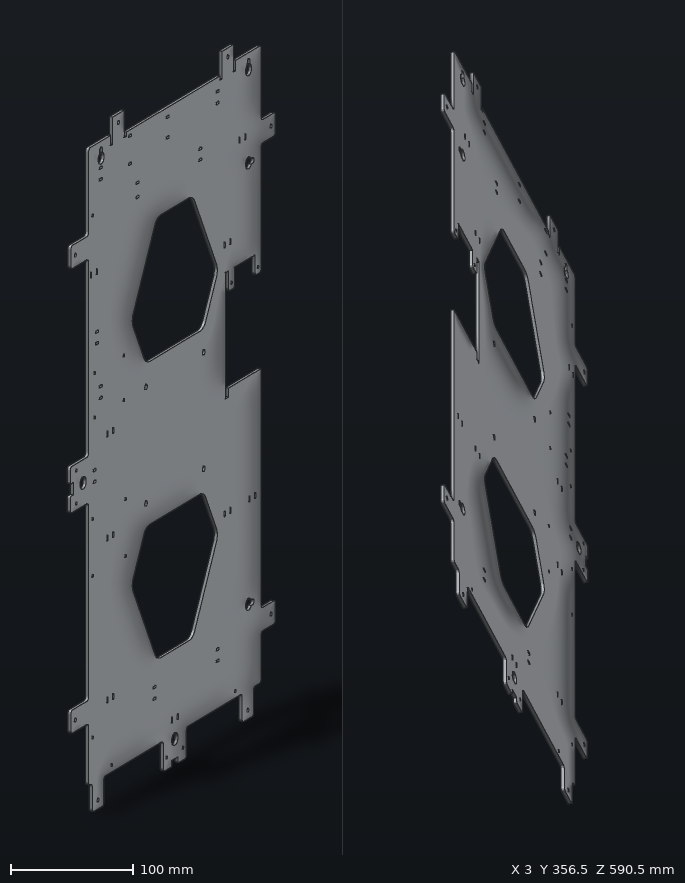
import cadquery as cq
import math

THICKNESS = 3.0
WIDTH = 356.5
HEIGHT = 590.5
TOP = HEIGHT / 2
BOTTOM = -HEIGHT / 2
LEFT = WIDTH / 2
RIGHT = -WIDTH / 2
SIDES = (-1, 1)

BODY_WIDTH = 300.0
CENTER_Y = 3.5
BODY_LEFT = CENTER_Y + BODY_WIDTH / 2
BODY_RIGHT = CENTER_Y - BODY_WIDTH / 2
BODY_TOP = 280.5
BODY_BOTTOM = -268.5
MIRROR_Z = -5.0
RIM_RADIUS = 3.0

TAB_WIDTH = 20.0
OVERLAP = 12.0
LEFT_TAB_OFFSET = 210.0
RIGHT_TAB_OFFSET = 200.0
RIGHT_TAB_END = -177.0
BOTTOM_TAB_Y = (130.5, -130.0)
BOTTOM_TAB_END = -293.5
TOP_TAB_Y = (95.5, -94.5)
TAB_HOLE_INSET = 7.5

RECESS_Z = 275.0
RELIEF_WIDTH = 3.5
RELIEF_Z = 271.5

DOUBLE_TAB_WIDTH = 40.0
NOTCH_WIDTH = 10.5
NOTCH_DEPTH = 5.5
NOTCH_MOUTH_RADIUS = 2.0
LOCATING_HOLE_DIAMETER = 10.5
LOCATING_HOLE_INSET = 22.5
DOUBLE_HOLE_INSET = 10.5
DOUBLE_HOLE_OFFSET = 14.0

CUTOUT_TOP = 103.0
CUTOUT_BOTTOM = 2.0
CUTOUT_RIGHT = 91.5
CUTOUT_SLOT_WIDTH = 5.5
CUTOUT_SLOT_DEPTH = 7.5
LEG_WIDTH = 10.5
LEG_END = 85.0
LEG_Y = (BODY_LEFT - LEG_WIDTH / 2, 102.0)
LEG_HOLE_Z = 91.0

WINDOW_HALF_WIDTH = 75.5
WINDOW_OUTER = 191.0
WINDOW_MIDDLE = 114.0
WINDOW_INNER = 70.0
WINDOW_RADIUS = 12.0

KEYHOLE_DIAMETER = 10.0
KEYHOLE_NECK = 5.0
KEYHOLE_REACH = 9.5
KEYHOLE_OFFSET_Y = 128.0
KEYHOLE_TOP_Z = 266.0
KEYHOLE_SIDE_OFFSET = 190.0

MOUNT_DIAMETER = 4.5
MOUNT_OFFSET = 50.0
TAB_HOLE_DIAMETER = 3.25
SMALL_DIAMETER = 2.5
SMALL_HOLES = [
    (-139.5, 221.0),
    (-85.0, 84.0),
    (-136.0, 84.0),
    (-85.0, 45.5),
    (-136.0, 45.5),
    (-82.0, -41.0),
    (-139.5, -41.0),
    (-82.0, -90.0),
    (-139.5, -90.0),
    (-139.5, -229.0),
    (108.5, -263.0),
    (-106.0, -263.0),
]

SLOT_LENGTH = 5.0
SLOT_WIDTH = 2.0
SLOT_SPACING = 10.0
STACKED_PAIRS = [
    (78.0, 258.0, SLOT_SPACING),
    (-9.0, 258.0, 18.0),
    (-74.5, 258.0, 24.0),
    (48.0, 218.0, 9.5),
    (-61.5, 219.5, 12.5),
    (-125.0, 253.0, SLOT_SPACING),
    (-131.5, 113.5, SLOT_SPACING),
    (-125.0, 64.5, SLOT_SPACING),
    (-136.0, MIRROR_Z, SLOT_SPACING),
    (78.0, -222.5, SLOT_SPACING),
    (-32.0, -222.5, SLOT_SPACING),
]
ABREAST_PAIRS = [
    (121.0, 209.5),
    (-137.0, 170.0),
    (95.0, 127.0),
    (-108.5, 25.0),
    (-108.5, -65.0),
    (-108.5, -204.5),
    (138.0, -104.5),
    (95.0, -104.5),
    (CENTER_Y, -255.0),
]


def sketch_plane():
    return cq.Workplane("YZ").workplane(offset=-THICKNESS / 2)


def block(y0, y1, z0, z1):
    middle = sketch_plane().center((y0 + y1) / 2, (z0 + z1) / 2)
    return middle.rect(abs(y1 - y0), abs(z1 - z0)).extrude(THICKNESS)


def upright_block(y, width, z0, z1):
    return block(y - width / 2, y + width / 2, z0, z1)


def level_block(z, width, y0, y1):
    return block(y0, y1, z - width / 2, z + width / 2)


def discs(points, diameter):
    return sketch_plane().pushPoints(points).circle(diameter / 2).extrude(THICKNESS)


def slots(points, angle):
    return sketch_plane().pushPoints(points).slot2D(SLOT_LENGTH, SLOT_WIDTH, angle).extrude(THICKNESS)


def rim():
    """Body with the side, bottom and double tabs, rounded at every corner and tab root."""
    shape = block(BODY_LEFT, BODY_RIGHT, BODY_BOTTOM, BODY_TOP)
    inner_bottom = BODY_BOTTOM + OVERLAP
    inner_right = BODY_RIGHT + OVERLAP
    for side in SIDES:
        left_z = MIRROR_Z + side * LEFT_TAB_OFFSET
        right_z = MIRROR_Z + side * RIGHT_TAB_OFFSET
        shape = shape.union(level_block(left_z, TAB_WIDTH, BODY_LEFT - OVERLAP, LEFT))
        shape = shape.union(level_block(right_z, TAB_WIDTH, RIGHT_TAB_END, inner_right))
    for y in BOTTOM_TAB_Y:
        shape = shape.union(upright_block(y, TAB_WIDTH, BOTTOM_TAB_END, inner_bottom))
    shape = shape.union(level_block(MIRROR_Z, DOUBLE_TAB_WIDTH, RIGHT, inner_right))
    shape = shape.union(upright_block(CENTER_Y, DOUBLE_TAB_WIDTH, BOTTOM, inner_bottom))
    return shape.edges("|X").fillet(RIM_RADIUS)


def cut_notches(shape):
    """Notch the ends of the double tabs and round the mouths of the notches."""
    shape = shape.cut(level_block(MIRROR_Z, NOTCH_WIDTH, RIGHT, RIGHT + NOTCH_DEPTH))
    shape = shape.cut(upright_block(CENTER_Y, NOTCH_WIDTH, BOTTOM, BOTTOM + NOTCH_DEPTH))
    half_notch = NOTCH_WIDTH / 2
    for side in SIDES:
        mouth_corners = [
            (0, RIGHT, MIRROR_Z + side * half_notch),
            (0, CENTER_Y + side * half_notch, BOTTOM),
        ]
        for corner in mouth_corners:
            mouth = cq.selectors.NearestToPointSelector(corner)
            shape = shape.edges("|X").edges(mouth).fillet(NOTCH_MOUTH_RADIUS)
    return shape


def shape_top_edge(shape):
    """Lower the edge between the top tabs, then cut the reliefs and raise the tabs."""
    shape = shape.cut(block(TOP_TAB_Y[0], TOP_TAB_Y[1], RECESS_Z, BODY_TOP))
    for y in TOP_TAB_Y:
        shape = shape.cut(upright_block(y, TAB_WIDTH + 2 * RELIEF_WIDTH, RELIEF_Z, BODY_TOP))
        shape = shape.union(upright_block(y, TAB_WIDTH, RELIEF_Z - OVERLAP, TOP))
    return shape


def cut_left_side(shape):
    slot_left = CUTOUT_RIGHT + CUTOUT_SLOT_WIDTH
    slot_bottom = CUTOUT_BOTTOM - CUTOUT_SLOT_DEPTH
    shape = shape.cut(block(BODY_LEFT, CUTOUT_RIGHT, CUTOUT_BOTTOM, CUTOUT_TOP))
    shape = shape.cut(block(slot_left, CUTOUT_RIGHT, slot_bottom, CUTOUT_TOP))
    for y in LEG_Y:
        leg = upright_block(y, LEG_WIDTH, LEG_END, CUTOUT_TOP + OVERLAP)
        shape = shape.union(leg.edges("|X and <Z").fillet(RIM_RADIUS))
    return shape


def window(side):
    """Hexagon above (side = 1) or below (side = -1) MIRROR_Z."""
    flank = math.tan(math.radians(60))
    outer_half = WINDOW_HALF_WIDTH - (WINDOW_OUTER - WINDOW_MIDDLE) / flank
    inner_half = WINDOW_HALF_WIDTH - (WINDOW_MIDDLE - WINDOW_INNER) / flank
    corners = [
        (-outer_half, side * WINDOW_OUTER),
        (outer_half, side * WINDOW_OUTER),
        (WINDOW_HALF_WIDTH, side * WINDOW_MIDDLE),
        (inner_half, side * WINDOW_INNER),
        (-inner_half, side * WINDOW_INNER),
        (-WINDOW_HALF_WIDTH, side * WINDOW_MIDDLE),
    ]
    hexagon = sketch_plane().center(CENTER_Y, MIRROR_Z).polyline(corners).close().extrude(THICKNESS)
    return hexagon.edges("|X").fillet(WINDOW_RADIUS)


def keyhole(y, z, angle):
    """Round hole with a narrow neck; the neck points left at 0 degrees and up at 90."""
    neck_length = KEYHOLE_REACH + KEYHOLE_NECK / 2
    neck_middle = KEYHOLE_REACH - neck_length / 2
    turn = math.radians(angle)
    neck = sketch_plane().center(y + neck_middle * math.cos(turn), z + neck_middle * math.sin(turn))
    neck = neck.slot2D(neck_length, KEYHOLE_NECK, angle).extrude(THICKNESS)
    return discs([(y, z)], KEYHOLE_DIAMETER).union(neck)


def keyholes():
    left_y = CENTER_Y + KEYHOLE_OFFSET_Y
    right_y = CENTER_Y - KEYHOLE_OFFSET_Y
    shape = keyhole(left_y, KEYHOLE_TOP_Z, 90).union(keyhole(right_y, KEYHOLE_TOP_Z, 90))
    for side in SIDES:
        shape = shape.union(keyhole(left_y, MIRROR_Z + side * KEYHOLE_SIDE_OFFSET, 0))
    return shape


def locating_holes():
    centers = [
        (RIGHT + LOCATING_HOLE_INSET, MIRROR_Z),
        (CENTER_Y, BOTTOM + LOCATING_HOLE_INSET),
    ]
    return discs(centers, LOCATING_HOLE_DIAMETER)


def tab_holes():
    centers = [(y, TOP - TAB_HOLE_INSET) for y in TOP_TAB_Y]
    centers += [(y, BOTTOM_TAB_END + TAB_HOLE_INSET) for y in BOTTOM_TAB_Y]
    for side in SIDES:
        centers.append((LEFT - TAB_HOLE_INSET, MIRROR_Z + side * LEFT_TAB_OFFSET))
        centers.append((RIGHT_TAB_END + TAB_HOLE_INSET, MIRROR_Z + side * RIGHT_TAB_OFFSET))
    return discs(centers, TAB_HOLE_DIAMETER)


def small_holes():
    centers = SMALL_HOLES + [(y, LEG_HOLE_Z) for y in LEG_Y]
    for side in SIDES:
        centers.append((RIGHT + DOUBLE_HOLE_INSET, MIRROR_Z + side * DOUBLE_HOLE_OFFSET))
        centers.append((CENTER_Y + side * DOUBLE_HOLE_OFFSET, BOTTOM + DOUBLE_HOLE_INSET))
    return discs(centers, SMALL_DIAMETER)


def mounting_holes():
    spacing = 2 * MOUNT_OFFSET
    grid = sketch_plane().center(CENTER_Y, MIRROR_Z).rect(spacing, spacing, forConstruction=True)
    return grid.vertices().circle(MOUNT_DIAMETER / 2).extrude(THICKNESS)


def stacked_slots():
    centers = []
    for y, z, spacing in STACKED_PAIRS:
        centers += [(y, z + side * spacing / 2) for side in SIDES]
    return slots(centers, 0)


def abreast_slots():
    centers = []
    for y, z in ABREAST_PAIRS:
        centers += [(y + side * SLOT_SPACING / 2, z) for side in SIDES]
    return slots(centers, 90)


panel = cut_left_side(shape_top_edge(cut_notches(rim())))
openings = [
    window(1),
    window(-1),
    keyholes(),
    locating_holes(),
    tab_holes(),
    small_holes(),
    mounting_holes(),
    stacked_slots(),
    abreast_slots(),
]
for opening in openings:
    panel = panel.cut(opening)

result = panel